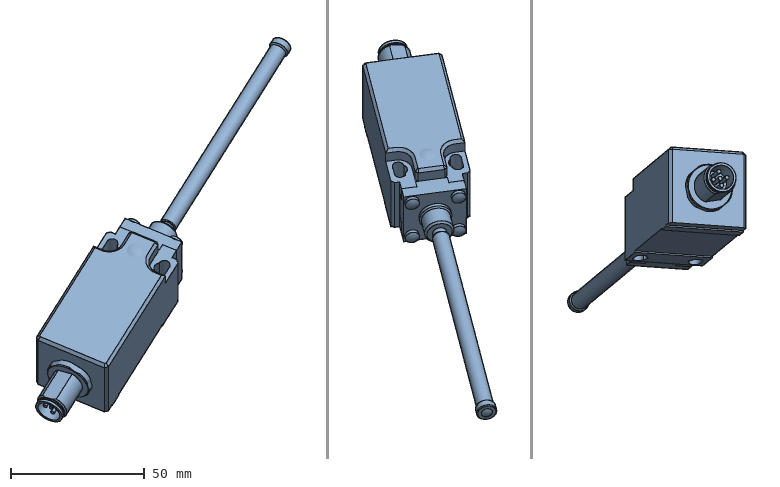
import cadquery as cq
import math


HOUSING_WIDTH = 30.2
HOUSING_LENGTH = 59.7
HOUSING_TOP = 30.0
PAD_HEIGHT = 0.5
EDGE_CHAMFER = 1.2
PAD_SPANS = [(4.5, 10.0), (45.6, HOUSING_LENGTH - EDGE_CHAMFER)]
LUG_TOP = 24.5
LUG_START = 48.1
TONGUE_WIDTH = 12.1
TONGUE_END = 60.6
DOME_RADIUS = 3.0
DOME_HEIGHT = 0.5
DOME_Y = 52.7
TONGUE_CORNER_CHAMFER = 1.0

SLOT_X = 11.0
SLOT_Y = 53.3
SLOT_WIDTH = 4.2
SLOT_LENGTH = 8.0
BULGE_RADIUS = 2.3
BULGE_X = 10.2
LUG_CORNER_RADIUS = SLOT_Y - LUG_START

HEAD_BOTTOM = PAD_HEIGHT
HEAD_SIZE = LUG_TOP - HEAD_BOTTOM
HEAD_END = 67.8
WAND_Z = HEAD_BOTTOM + HEAD_SIZE / 2
POST_END = 63.3
CROSS_WIDTH = TONGUE_WIDTH
SCREW_RADIUS = 2.7
SCREW_HEIGHT = 1.3
SCREW_DOME = 0.8
SCREW_OFFSET = 8.9
BOSS_RADIUS = 5.5
BOSS_END = 77.2
BOSS_CHAMFER = 0.8
COLLAR_RADIUS = 6.2
COLLAR_HEIGHT = 1.3
COLLAR_TAPER = 0.5

WAND_END = 174.2
WAND_RADIUS = 3.3
WAND_NECK_RADIUS = 2.7
WAND_NECK_LENGTH = 2.1
CAP_RADIUS = 3.8
CAP_LENGTH = 2.9
CAP_CHAMFER = 0.4
CAP_BASE_LENGTH = 0.5
CAP_NUB_RADIUS = 2.1
CAP_NUB_HEIGHT = 0.5
WAND_SHOULDER_CHAMFER = 0.4

CONNECTOR_Z = 14.6
CONNECTOR_TILT = 12
FLANGE_RADIUS = 8.9
FLANGE_FLATS = 17.1
FLANGE_LENGTH = 2.7
FLANGE_CHAMFER = 0.4
BARREL_RADIUS = 6.2
BARREL_FLATS = 10.8
BARREL_END = 16.2
BARREL_CHAMFER = 0.5
RIM_GROOVE_RADIUS = 5.2
RIM_RADIUS = 5.5
RIM_START = 17.0
CONNECTOR_LENGTH = 18.3
SOCKET_RADIUS = 4.6
SOCKET_DEPTH = 9.6
PIN_RADIUS = 0.8
PIN_LENGTH = 7.7
OUTER_PIN_COUNT = 4
PIN_CIRCLE_RADIUS = 2.7


def box(x0, x1, y0, y1, z0, z1):
    return cq.Workplane("XY").box(x1 - x0, y1 - y0, z1 - z0, centered=False).translate((x0, y0, z0))


def cylinder_y(radius, y0, y1, x=0.0, z=0.0):
    """Cylinder along +Y from y0 to y1."""
    return cq.Workplane("XZ", origin=(x, y0, z)).circle(radius).extrude(y0 - y1)


def spherical_cap(radius, height):
    """Shallow dome on a flat circle at the origin, bulging towards +Y."""
    ball_radius = (radius**2 + height**2) / (2 * height)
    half_angle = math.asin(radius / ball_radius) / 2
    midpoint = (ball_radius * math.sin(half_angle), height - ball_radius * (1 - math.cos(half_angle)))
    profile = cq.Workplane("XY").lineTo(radius, 0).threePointArc(midpoint, (0, height)).close()
    return profile.revolve(360, (0, 0, 0), (0, 1, 0))


def revolve_y(points, z):
    """Solid of revolution about the Y axis at height z, from (radius, y) points."""
    profile = cq.Workplane("XY").polyline(points).close()
    return profile.revolve(360, (0, 0, 0), (0, 1, 0)).translate((0, 0, z))


def upper_plan():
    """Outline of the upper block: wide body with a tongue between the two lugs."""
    half = HOUSING_WIDTH / 2
    tongue = TONGUE_WIDTH / 2
    arc_x = tongue + LUG_CORNER_RADIUS
    arc_mid_x = arc_x - LUG_CORNER_RADIUS * math.sqrt(0.5)
    arc_mid_y = SLOT_Y - LUG_CORNER_RADIUS * math.sqrt(0.5)
    return (
        cq.Workplane("XY")
        .moveTo(EDGE_CHAMFER - half, 0)
        .lineTo(half - EDGE_CHAMFER, 0)
        .lineTo(half, EDGE_CHAMFER)
        .lineTo(half, LUG_START)
        .lineTo(arc_x, LUG_START)
        .threePointArc((arc_mid_x, arc_mid_y), (tongue, SLOT_Y))
        .lineTo(tongue, TONGUE_END - TONGUE_CORNER_CHAMFER)
        .lineTo(tongue - TONGUE_CORNER_CHAMFER, TONGUE_END)
        .lineTo(TONGUE_CORNER_CHAMFER - tongue, TONGUE_END)
        .lineTo(-tongue, TONGUE_END - TONGUE_CORNER_CHAMFER)
        .lineTo(-tongue, SLOT_Y)
        .threePointArc((-arc_mid_x, arc_mid_y), (-arc_x, LUG_START))
        .lineTo(-half, LUG_START)
        .lineTo(-half, EDGE_CHAMFER)
        .close()
    )


def make_upper_block():
    """Top of the housing, chamfered all round its upper face."""
    block = upper_plan().extrude(HOUSING_TOP - LUG_TOP)
    return block.faces(">Z").chamfer(EDGE_CHAMFER).translate((0, 0, LUG_TOP))


def mounting_slot(side):
    slot = (
        cq.Workplane("XY")
        .center(side * SLOT_X, SLOT_Y)
        .slot2D(SLOT_LENGTH, SLOT_WIDTH, 90)
        .extrude(HOUSING_TOP)
    )
    bulge = cq.Workplane("XY").center(side * BULGE_X, SLOT_Y).circle(BULGE_RADIUS).extrude(HOUSING_TOP)
    return slot.union(bulge)


def head_cross():
    """Cross-shaped space between the four corner posts, where the head plugs in."""
    half = HEAD_SIZE / 2
    arm = CROSS_WIDTH / 2
    wide = box(-half, half, TONGUE_END, POST_END, WAND_Z - arm, WAND_Z + arm)
    tall = box(-arm, arm, TONGUE_END, POST_END, HEAD_BOTTOM, LUG_TOP)
    return wide.union(tall)


def make_housing():
    half = HOUSING_WIDTH / 2
    neck_half = HEAD_SIZE / 2
    lower = box(-half, half, 0, HOUSING_LENGTH, PAD_HEIGHT, LUG_TOP)
    body = lower.edges("|Z").chamfer(EDGE_CHAMFER)
    body = body.union(make_upper_block())
    body = body.union(box(-neck_half, neck_half, LUG_START, POST_END, HEAD_BOTTOM, LUG_TOP))
    body = body.cut(head_cross())
    for start, end in PAD_SPANS:
        body = body.union(box(-half, half, start, end, 0, PAD_HEIGHT))
    for side in (-1, 1):
        body = body.cut(mounting_slot(side))
    dome = spherical_cap(DOME_RADIUS, DOME_HEIGHT).rotate((0, 0, 0), (1, 0, 0), 90)
    return body.union(dome.translate((0, DOME_Y, HOUSING_TOP)))


def make_screw_head(x, z):
    disc_end = HEAD_END + SCREW_HEIGHT
    disc = cylinder_y(SCREW_RADIUS, HEAD_END, disc_end, x, z)
    return disc.union(spherical_cap(SCREW_RADIUS, SCREW_DOME).translate((x, disc_end, z)))


def make_head():
    half = HEAD_SIZE / 2
    head = box(-half, half, POST_END, HEAD_END, HEAD_BOTTOM, LUG_TOP).union(head_cross())
    collar_end = HEAD_END + COLLAR_HEIGHT
    boss = revolve_y(
        [
            (0, HEAD_END),
            (COLLAR_RADIUS, HEAD_END),
            (COLLAR_RADIUS, collar_end),
            (BOSS_RADIUS, collar_end + COLLAR_TAPER),
            (BOSS_RADIUS, BOSS_END - BOSS_CHAMFER),
            (BOSS_RADIUS - BOSS_CHAMFER, BOSS_END),
            (0, BOSS_END),
        ],
        WAND_Z,
    )
    head = head.union(boss)
    for x in (-SCREW_OFFSET, SCREW_OFFSET):
        for z in (WAND_Z - SCREW_OFFSET, WAND_Z + SCREW_OFFSET):
            head = head.union(make_screw_head(x, z))
    return head


def make_wand():
    shoulder = BOSS_END + WAND_NECK_LENGTH
    cap_end = WAND_END - CAP_NUB_HEIGHT
    cap_start = cap_end - CAP_LENGTH
    base_start = cap_start - CAP_BASE_LENGTH
    rod = revolve_y(
        [
            (0, BOSS_END),
            (WAND_NECK_RADIUS, BOSS_END),
            (WAND_NECK_RADIUS, shoulder),
            (WAND_RADIUS - WAND_SHOULDER_CHAMFER, shoulder),
            (WAND_RADIUS, shoulder + WAND_SHOULDER_CHAMFER),
            (WAND_RADIUS, base_start),
            (CAP_RADIUS, cap_start),
            (CAP_RADIUS, cap_end - CAP_CHAMFER),
            (CAP_RADIUS - CAP_CHAMFER, cap_end),
            (0, cap_end),
        ],
        WAND_Z,
    )
    nub = spherical_cap(CAP_NUB_RADIUS, CAP_NUB_HEIGHT).translate((0, cap_end, WAND_Z))
    return rod.union(nub)


def make_connector():
    """Plug connector, built along -Y about its own axis and then turned by its tilt."""
    flange = cylinder_y(FLANGE_RADIUS, -FLANGE_LENGTH, 0).faces("<Y").chamfer(FLANGE_CHAMFER)
    hexagon = cq.Workplane("XZ").polygon(6, FLANGE_FLATS, circumscribed=True).extrude(FLANGE_LENGTH)
    barrel = cylinder_y(BARREL_RADIUS, -BARREL_END, -FLANGE_LENGTH).faces("<Y").chamfer(BARREL_CHAMFER)
    flats = cq.Workplane("XZ").rect(2 * BARREL_RADIUS, BARREL_FLATS).extrude(BARREL_END)
    groove = cylinder_y(RIM_GROOVE_RADIUS, -RIM_START, -BARREL_END)
    rim = cylinder_y(RIM_RADIUS, -CONNECTOR_LENGTH, -RIM_START)
    connector = flange.intersect(hexagon).union(barrel.intersect(flats)).union(groove).union(rim)
    floor = SOCKET_DEPTH - CONNECTOR_LENGTH
    connector = connector.cut(cylinder_y(SOCKET_RADIUS, -CONNECTOR_LENGTH, floor))
    pin_places = [(0, 0)]
    for index in range(OUTER_PIN_COUNT):
        angle = 2 * math.pi * index / OUTER_PIN_COUNT
        pin_places.append((PIN_CIRCLE_RADIUS * math.cos(angle), PIN_CIRCLE_RADIUS * math.sin(angle)))
    for x, z in pin_places:
        connector = connector.union(cylinder_y(PIN_RADIUS, floor - PIN_LENGTH, floor, x, z))
    return connector.rotate((0, 0, 0), (0, 1, 0), -CONNECTOR_TILT).translate((0, 0, CONNECTOR_Z))


housing = make_housing()
head = make_head()
wand = make_wand()
connector = make_connector()

result = cq.Compound.makeCompound([housing.val(), head.val(), wand.val(), connector.val()])